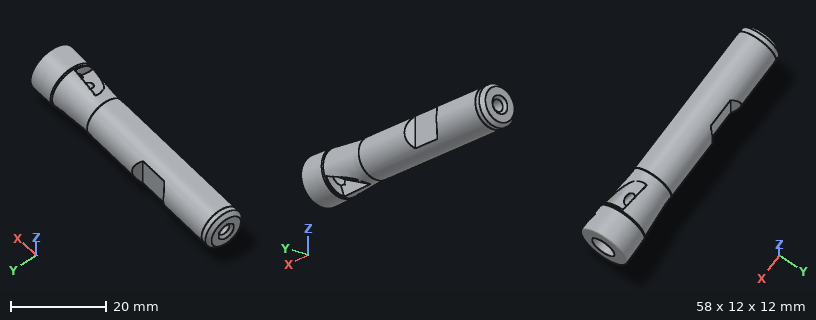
import cadquery as cq
import math

length = 58.0
head_diameter = 12.0
head_radius = head_diameter / 2

shank_radius = 5.0
relief_radius = 4.95
rear_radius = 4.0
rear_chamfer = relief_radius - rear_radius
rear_relief_end = 2.15
front_step_start = 40.15
front_step_end = 40.25
neck_start = 42.0

neck_end = 50.5
neck_end_diameter = 11.3
neck_end_radius = neck_end_diameter / 2
collar_end = 50.9
head_start = 51.3
head_start_radius = 5.85
head_edge_round = 0.4

notch_center = 20.0
notch_floor_length = 7.2
notch_floor_y = 3.35
notch_depth = shank_radius - notch_floor_y

bore_radius = 1.4
bore_mouth_radius = 2.1
bore_depth = 38.3
drill_half_angle = math.radians(59)

cavity_radius = 2.9
cavity_shoulder = 50.45
cavity_half_angle = math.radians(75)

window_count = 2
window_start = 43.25
window_lead = 3.5
window_sweep = 12.75
window_drop = 0.42
window_drift = 0.085
window_wall_y = 0.4
window_top = 11.6
window_outer_y = -6.95
strip_wall_z = 4.8
strip_edge_y = -1.7
floor_radius = 2.9
floor_center_y = -2.55
floor_bottom_z = 4.6
floor_outer_y = -5.0
window_end_undercut = math.radians(20)

duct_radius = 1.0
duct_start = 38.45
duct_exit = (47.0, -1.05, 3.2)
duct_overrun = 1.75


def revolved(points):
    """Revolve a half profile of (x, radius) points around the X axis."""
    return cq.Workplane("XY").polyline(points).close().revolve(360, (0, 0, 0), (1, 0, 0))


def make_body():
    rear_profile = [
        (0, 0),
        (0, rear_radius),
        (rear_chamfer, relief_radius),
        (rear_relief_end, relief_radius),
        (rear_relief_end, shank_radius),
        (front_step_start, shank_radius),
        (front_step_end, relief_radius),
        (neck_start, relief_radius),
        (neck_end, neck_end_radius),
        (collar_end, neck_end_radius),
        (head_start, head_start_radius),
    ]
    crown_middle = ((head_start + length) / 2, head_radius - (head_radius - head_start_radius) / 4)
    body = (
        cq.Workplane("XY")
        .polyline(rear_profile)
        .threePointArc(crown_middle, (length, head_radius))
        .lineTo(length, 0)
        .close()
        .revolve(360, (0, 0, 0), (1, 0, 0))
    )
    return body.faces(">X").edges().fillet(head_edge_round)


def make_notch():
    half_floor = notch_floor_length / 2
    half_mouth = half_floor + notch_depth
    return (
        cq.Workplane("XY")
        .polyline([
            (notch_center - half_floor, notch_floor_y),
            (notch_center + half_floor, notch_floor_y),
            (notch_center + half_mouth, shank_radius),
            (notch_center + half_mouth, head_radius),
            (notch_center - half_mouth, head_radius),
            (notch_center - half_mouth, shank_radius),
        ])
        .close()
        .extrude(head_radius, both=True)
    )


def make_bore():
    return revolved([
        (0, 0),
        (0, bore_mouth_radius),
        (bore_mouth_radius - bore_radius, bore_radius),
        (bore_depth, bore_radius),
        (bore_depth + bore_radius / math.tan(drill_half_angle), 0),
    ])


def make_cavity():
    return revolved([
        (cavity_shoulder - cavity_radius / math.tan(cavity_half_angle), 0),
        (cavity_shoulder, cavity_radius),
        (length, cavity_radius),
        (length, 0),
    ])


def floor_z(y):
    """Height of the concave window floor at the reference section."""
    rise = floor_radius - math.sqrt(floor_radius**2 - (y - floor_center_y) ** 2)
    return floor_bottom_z + rise


def make_window():
    section = (
        cq.Workplane("YZ", origin=(window_start, 0, 0))
        .moveTo(window_wall_y, window_top)
        .lineTo(window_wall_y, strip_wall_z)
        .lineTo(strip_edge_y, floor_z(strip_edge_y))
        .threePointArc((floor_center_y, floor_bottom_z), (floor_outer_y, floor_z(floor_outer_y)))
        .lineTo(window_outer_y, window_top)
        .close()
    )
    direction = cq.Vector(1, -window_drift, -window_drop)
    start_wire = section.val().translate(direction * -window_lead)
    sweep = cq.Solid.extrudeLinear(start_wire, [], direction * window_sweep)

    rim_radius = 2 * head_radius
    cone_depth = math.tan(window_end_undercut)
    end_limit = revolved([
        (0, 0),
        (0, rim_radius),
        (neck_end - (rim_radius - neck_end_radius) * cone_depth, rim_radius),
        (neck_end + neck_end_radius * cone_depth, 0),
    ])
    return cq.Workplane(sweep).intersect(end_limit)


def make_duct():
    start = cq.Vector(duct_start, 0, 0)
    axis = cq.Vector(*duct_exit) - start
    return cq.Workplane(cq.Solid.makeCylinder(duct_radius, axis.Length + duct_overrun, start, axis))


part = make_body().cut(make_notch()).cut(make_bore()).cut(make_cavity())
for index in range(window_count):
    angle = index * 360 / window_count
    for cutter in (make_window(), make_duct()):
        part = part.cut(cutter.rotate((0, 0, 0), (1, 0, 0), angle))

result = part.solids()